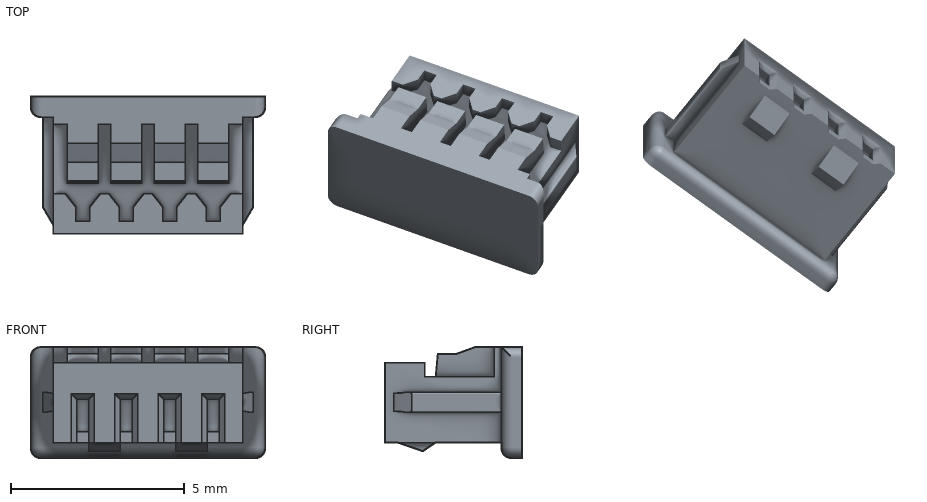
import cadquery as cq


way_count = 4
pitch = 1.25
way_centres = [(i - (way_count - 1) / 2) * pitch for i in range(way_count)]

flange_width = 6.75
flange_height = 3.2
flange_thickness = 0.6
flange_radius = 0.3
total_depth = 3.95
flange_front = total_depth - flange_thickness

body_width = 5.45
body_bottom = 0.45
front_block_top = 2.75
front_block_depth = 1.15
step_floor = 2.35

finger_width = 0.9
finger_root = 3.15
finger_slope_back = 2.6
finger_slope_front = 2.05
finger_tip_top = 1.52
finger_tip_bottom = 1.46
finger_low_top = 3.0

notch_width = 0.4
notch_front = 0.36
notch_flare_start = 0.77
notch_flare_width = 1.0

opening_width = 0.65
opening_top = 1.85
opening_chamfer = 0.15
throat_width = opening_width - 2 * opening_chamfer
throat_top = opening_top - opening_chamfer
throat_floor = 0.76
throat_depth = 0.2

bump_width = 0.9
bump_front = 0.37
bump_peak = 1.09
bump_back = 1.46
bump_bottom = 0.2
bump_centres = [-pitch, pitch]

rib_height = 0.3
rib_centre_z = 1.61
rib_root_width = 0.51
rib_crest_width = 0.6
rib_edge_radius = 0.05
rib_tip_root = 0.25
rib_tip_crest = 0.77


def block(x_min, x_max, y_min, y_max, z_min, z_max):
    """Box given by its limits along each axis."""
    return cq.Workplane("XY").box(
        x_max - x_min, y_max - y_min, z_max - z_min, centered=False
    ).translate((x_min, y_min, z_min))


def extrude_along_x(points, x_centre, width):
    """Prism with a (Y, Z) outline, centred on x_centre."""
    return (
        cq.Workplane("YZ", origin=(x_centre - width / 2, 0, 0))
        .polyline(points)
        .close()
        .extrude(width)
    )


def make_flange():
    """Plate whose front rim is rounded at the sides and bottom, with all four corners rounded."""
    half_width = flange_width / 2
    plate = block(-half_width, half_width, flange_front, total_depth, 0, flange_height)
    plate = plate.edges("|Y and <Z").fillet(flange_radius)
    top_front_edge = cq.selectors.BoxSelector(
        (-half_width, flange_front - flange_radius, flange_height - flange_radius),
        (half_width, flange_front + flange_radius, flange_height + flange_radius),
    )
    front_rim = cq.selectors.SubtractSelector(
        cq.selectors.StringSyntaxSelector("<Y"), top_front_edge
    )
    plate = plate.edges(front_rim).fillet(flange_radius)
    rounded_outline = block(
        -half_width, half_width, flange_front, total_depth, 0, flange_height
    ).edges("|Y").fillet(flange_radius)
    return plate.intersect(rounded_outline)


def make_body():
    """Stepped body: front block, low step floor, and full height in front of the flange."""
    profile = [
        (0, body_bottom),
        (0, front_block_top),
        (front_block_depth, front_block_top),
        (front_block_depth, step_floor),
        (finger_root, step_floor),
        (finger_root, flange_height),
        (flange_front, flange_height),
        (flange_front, body_bottom),
    ]
    return extrude_along_x(profile, 0, body_width)


def make_finger(x_centre):
    """Finger reaching forward over the step floor, sloping down to a raked tip."""
    profile = [
        (finger_root, step_floor),
        (finger_root, flange_height),
        (finger_slope_back, flange_height),
        (finger_slope_front, finger_low_top),
        (finger_tip_top, finger_low_top),
        (finger_tip_bottom, step_floor),
    ]
    return extrude_along_x(profile, x_centre, finger_width)


def make_notch(x_centre):
    """Cutter for a notch down to the step floor, flaring toward the fingers."""
    half_notch = notch_width / 2
    half_flare = notch_flare_width / 2
    return (
        cq.Workplane("XY", origin=(x_centre, 0, step_floor))
        .polyline([
            (-half_notch, notch_front),
            (half_notch, notch_front),
            (half_notch, notch_flare_start),
            (half_flare, front_block_depth),
            (-half_flare, front_block_depth),
            (-half_notch, notch_flare_start),
        ])
        .close()
        .extrude(front_block_top - step_floor)
    )


def make_opening(x_centre):
    """Cutter for a contact opening: a tapered mouth open at the bottom, then a shallow throat."""
    mouth_bottom = body_bottom - opening_chamfer

    def mouth_outline(width, top):
        return [
            (-width / 2, mouth_bottom),
            (-width / 2, top),
            (width / 2, top),
            (width / 2, mouth_bottom),
        ]

    mouth = (
        cq.Workplane("XZ", origin=(x_centre, 0, 0))
        .polyline(mouth_outline(opening_width, opening_top))
        .close()
        .workplane(offset=-opening_chamfer)
        .polyline(mouth_outline(throat_width, throat_top))
        .close()
        .loft(ruled=True)
    )
    throat = block(
        x_centre - throat_width / 2,
        x_centre + throat_width / 2,
        opening_chamfer,
        opening_chamfer + throat_depth,
        throat_floor,
        throat_top,
    )
    return mouth.union(throat)


def make_bump(x_centre):
    """Triangular locking bump below the body."""
    profile = [
        (bump_front, body_bottom),
        (bump_peak, bump_bottom),
        (bump_back, body_bottom),
    ]
    return extrude_along_x(profile, x_centre, bump_width)


def make_right_rib():
    """Rib on the +X side, wider at its crest than at its root, with a slanted tip."""
    root_x = body_width / 2
    crest_x = root_x + rib_height
    rib = (
        cq.Workplane("XZ", origin=(0, flange_front, rib_centre_z))
        .polyline([
            (root_x, -rib_root_width / 2),
            (crest_x, -rib_crest_width / 2),
            (crest_x, rib_crest_width / 2),
            (root_x, rib_root_width / 2),
        ])
        .close()
        .extrude(flange_front - rib_tip_root)
        .edges("|Y and >X")
        .fillet(rib_edge_radius)
    )
    tip_cutter = (
        cq.Workplane("XY", origin=(0, 0, rib_centre_z))
        .polyline([
            (root_x, rib_tip_root),
            (crest_x, rib_tip_root),
            (crest_x, rib_tip_crest),
        ])
        .close()
        .extrude(rib_crest_width, both=True)
    )
    return rib.cut(tip_cutter)


result = make_flange().union(make_body())

right_rib = make_right_rib()
result = result.union(right_rib).union(right_rib.mirror("YZ"))

for way_x in way_centres:
    result = result.union(make_finger(way_x))
    result = result.cut(make_notch(way_x))
    result = result.cut(make_opening(way_x))

for bump_x in bump_centres:
    result = result.union(make_bump(bump_x))